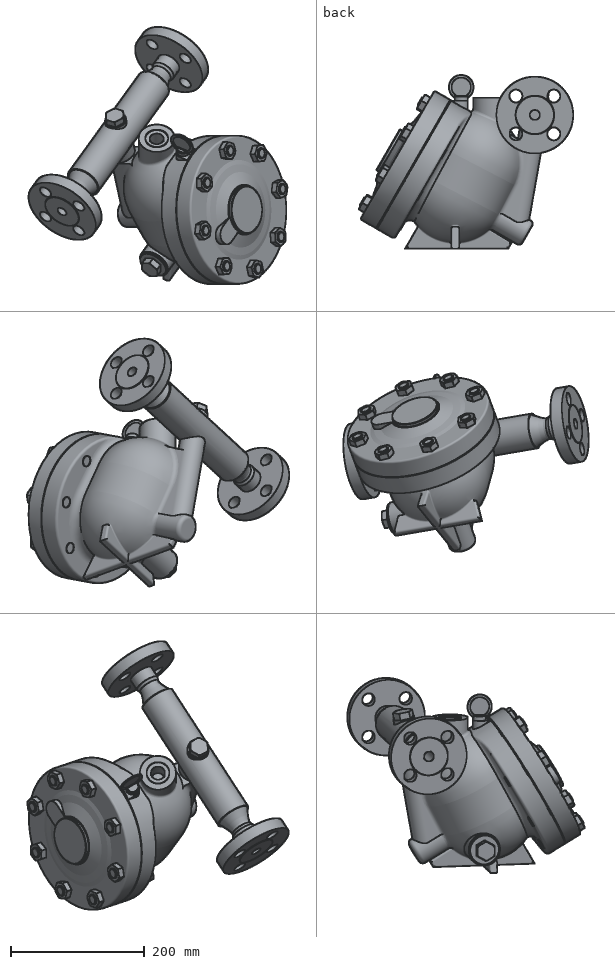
import cadquery as cq
import math

ON_SKIN = 0.001

TILT = 30.0
COS_TILT = math.cos(math.radians(TILT))
SIN_TILT = math.sin(math.radians(TILT))
JOINT_X, JOINT_Z = 181.2, 126.2

FLANGE_DIA = 222.0
GASKET_DIA = 165.0
JOINT_GAP = 1.4
BODY_FLANGE_BACK = 31.0
BODY_FLANGE_EDGE = 4.0
COVER_FACE = 28.0
COVER_EDGE = 3.0
STUD_COUNT = 8
STUD_CIRCLE_DIA = 187.0
STUD_DIA = 16.0
STUD_END = 39.2
STUD_BACK = 1.0
STUD_CHAMFER = 1.5
NUT_FLATS = 24.0
NUT_HEIGHT = 9.5

DOME_FOOT_R = 74.5
DOME_SHOULDER_R, DOME_SHOULDER_H = 68.0, 29.8
DOME_BEND_R, DOME_BEND_H = 56.5, 31.5
DOME_TOP_R, DOME_TOP_H = 37.5, 39.0
CAP_R, CAP_H = 35.5, 44.0
CAP_CHAMFER = 0.8
PAD_R = 15.0
PAD_REACH = 70.0
PAD_H = 39.5

BULB_R = 76.0
BULB_LENGTH = 50.0
BULB_LEAN = 2.5
BULB_LOW_X, BULB_LOW_HEIGHT = -4.5, -75.0
NECK_R = 67.5
NECK_FLARE = 12.0
NECK_START = -70.0
NECK_CENTRE_X = 18.7

PIPE_Z = 200.0
PIPE_R = 26.5
PIPE_HALF = 109.0
OVERALL_HALF = 175.0
STUB_R = 18.3
REDUCER_R, REDUCER_END = 24.5, 122.0
GROOVE_R, GROOVE_START, GROOVE_END = 16.0, 129.0, 133.0
STUB_START = 138.0
PIPE_FLANGE_DIA = 115.0
PIPE_FLANGE_BACK = 156.0
PIPE_FLANGE_T = OVERALL_HALF - PIPE_FLANGE_BACK
RAISED_FACE_R = 29.0
RAISED_FACE_H = 0.6
PIPE_BORE_DIA = 15.0
PIPE_BORE_DEPTH = 60.0
PIPE_BOLT_CIRCLE_DIA = 80.0
PIPE_BOLT_DIA = 19.0
PIPE_BOLT_COUNT = 4

LEG_TILT = 10.0
LEG_R = 19.0
ELBOW_R = 20.6
ELBOW_X = -5.6
ELBOW_END = -199.4
ELBOW_EDGE = 6.0
ELBOW_BLEND = 6.0
WEB_BLEND = 7.0
WEB_TOP = (45.0, 188.0)

PLUG_FLATS = 26.0
HEX_CHAMFER = 1.0
TOP_COLLAR_R, TOP_COLLAR_END, TOP_PLUG_END = 16.0, 28.0, 38.5
DRAIN_X, DRAIN_Z = 103.0, 37.5
DRAIN_R, DRAIN_END = 24.0, 77.0
DRAIN_COLLAR_R, DRAIN_COLLAR_END, DRAIN_PLUG_END = 22.0, 80.0, 91.0

INLET_X = 65.4
INLET_R = 27.0
INLET_TOP = 226.0
INLET_BLEND = 4.0
INLET_ROOT = 150.0
INLET_SEAT_DIA, INLET_SEAT_DEPTH = 34.0, 1.5
INLET_HOLE_DIA, INLET_HOLE_DEPTH = 21.0, 30.0

SCREW_X = 110.0
LUG_X = 112.0
LUG_R = 12.0
LUG_BASE, LUG_TOP = 190.0, 221.0
LUG_REACH = 12.5
SCREW_DIA = 20.0
SCREW_TOP = 229.0
SCREW_CHAMFER = 1.5
TAG_Y = -3.0
TAG_THICK = 2.0
TAG_R = 18.5
TAG_DISH_R = 14.5
TAG_DISH_DEPTH = 0.6
TAG_TOP = 259.9

FOOT_LEFT, FOOT_RIGHT = 40.0, 194.0
FOOT_PLATE = 12.0
FOOT_EDGE = 3.0
FOOT_CROSS_X = 119.0
FOOT_HALF = 69.0
FOOT_SIDE_SLOPE = 0.23
FOOT_BLEND = 2.0
FOOT_RISE = 33.0
FOOT_TOE_H = 9.5

joint = cq.Plane(
    origin=(JOINT_X, 0, JOINT_Z),
    xDir=(-SIN_TILT, 0, COS_TILT),
    normal=(COS_TILT, 0, SIN_TILT),
)


def joint_plane(height):
    """The joint plane moved along the cover axis."""
    return cq.Workplane(joint).workplane(offset=height)


def in_middle(x, height):
    """World X and Z of a point of the middle plane, given in the joint frame."""
    return (
        JOINT_X - x * SIN_TILT + height * COS_TILT,
        JOINT_Z + x * COS_TILT + height * SIN_TILT,
    )


def chamfered_disc(radius, thickness, chamfer):
    """Disc standing on the XY plane with its top edge chamfered."""
    return cq.Workplane("XY").circle(radius).extrude(thickness).faces(">Z").chamfer(chamfer)


def hexagon(flats, height):
    """Hexagon head standing on the XY plane, with its top corners turned down."""
    corner_dia = flats / math.cos(math.radians(30))
    prism = cq.Workplane("XY").polygon(6, corner_dia).extrude(height)
    return prism.intersect(chamfered_disc(corner_dia / 2, height, HEX_CHAMFER))


def plug(collar_r, collar_start, collar_end, plug_end):
    """Round collar and hexagon head along Z, at heights along its axis."""
    collar = cq.Workplane("XY").workplane(offset=collar_start).circle(collar_r)
    collar = collar.extrude(collar_end - collar_start)
    head = hexagon(PLUG_FLATS, plug_end - collar_end)
    return collar.union(head.translate((0, 0, collar_end)))


def placed(shape, plane):
    """The shape moved from the world frame to the frame of the plane."""
    return cq.Workplane(shape.val().moved(cq.Location(plane)))


def stud_points():
    """Joint-plane positions of the studs, straddling the middle plane."""
    points = []
    for index in range(STUD_COUNT):
        angle = 2 * math.pi * (index + 0.5) / STUD_COUNT
        radius = STUD_CIRCLE_DIA / 2
        points.append((radius * math.cos(angle), radius * math.sin(angle)))
    return points


def touches(shape, point):
    """Whether the point lies on the skin of the shape."""
    return any(face.distance(point) < ON_SKIN for face in shape.val().Faces())


def blended(base, addition, radius, side=None):
    """Union with a fillet along the edges where the two meet.

    With a side given, only edges at that distance from the middle plane are filleted.
    """
    joined = base.union(addition)
    seams = []
    for edge in joined.edges().vals():
        middle = edge.positionAt(0.5)
        point = cq.Vertex.makeVertex(*middle.toTuple())
        on_side = side is None or abs(abs(middle.y) - side) < ON_SKIN
        if on_side and touches(base, point) and touches(addition, point):
            seams.append(edge)
    return joined.newObject(seams).fillet(radius)


def bulb():
    """Capsule with its round ends above and below a straight middle."""
    lean = math.radians(TILT - BULB_LEAN)
    low_x, low_z = in_middle(BULB_LOW_X, BULB_LOW_HEIGHT)
    diagonal = BULB_R * math.sin(math.pi / 4)
    half_section = (
        cq.Workplane("XZ")
        .moveTo(0, -BULB_R)
        .threePointArc((diagonal, -diagonal), (BULB_R, 0))
        .lineTo(BULB_R, BULB_LENGTH)
        .threePointArc((diagonal, BULB_LENGTH + diagonal), (0, BULB_LENGTH + BULB_R))
        .close()
    )
    capsule = half_section.revolve(360, (0, 0, 0), (0, 1, 0))
    upright = cq.Plane(
        origin=(low_x, 0, low_z),
        xDir=(math.cos(lean), 0, math.sin(lean)),
        normal=(-math.sin(lean), 0, math.cos(lean)),
    )
    capsule = placed(capsule, upright)
    beyond_joint = joint_plane(-BODY_FLANGE_BACK).rect(4 * BULB_R, 4 * BULB_R).extrude(2 * BULB_R)
    return capsule.cut(beyond_joint)


def flange_and_neck():
    """Flange plate and the oblong neck that flares into it; the top of the neck meets the rim."""
    rim_r = FLANGE_DIA / 2
    plate = joint_plane(-BODY_FLANGE_BACK).circle(FLANGE_DIA)
    plate = plate.extrude(BODY_FLANGE_BACK - JOINT_GAP / 2)
    neck = (
        joint_plane(NECK_START)
        .center(NECK_CENTRE_X, 0)
        .slot2D(BULB_LENGTH + 2 * NECK_R, 2 * NECK_R)
        .extrude(-NECK_START - BODY_FLANGE_BACK / 2)
    )
    flared = blended(plate, neck, NECK_FLARE)
    trim = joint_plane(NECK_START).circle(rim_r).extrude(-NECK_START)
    trimmed = flared.intersect(trim)
    back_rim = []
    for edge in trimmed.edges().vals():
        middle = joint.toLocalCoords(edge.positionAt(0.5))
        on_back = abs(middle.z + BODY_FLANGE_BACK) < ON_SKIN
        if on_back and abs(math.hypot(middle.x, middle.y) - rim_r) < ON_SKIN:
            back_rim.append(edge)
    return trimmed.newObject(back_rim).fillet(BODY_FLANGE_EDGE)


def gasket_face():
    """Raised face that bridges the gap to the cover."""
    return joint_plane(-JOINT_GAP).circle(GASKET_DIA / 2).extrude(1.5 * JOINT_GAP)


def elbow():
    """Round boss along the cover axis, with a rounded end."""
    boss = joint_plane(ELBOW_END).center(ELBOW_X, 0).circle(ELBOW_R)
    boss = boss.extrude(BULB_LOW_HEIGHT - ELBOW_END)
    end_x, end_z = in_middle(ELBOW_X, ELBOW_END)
    end_face = boss.faces(cq.NearestToPointSelector((end_x, 0, end_z)))
    return end_face.edges().fillet(ELBOW_EDGE)


def leg_length():
    """Length of the leg from the pipe axis to the elbow axis."""
    axis_x, axis_z = in_middle(ELBOW_X, 0)
    gap = (PIPE_Z - axis_z) * COS_TILT + axis_x * SIN_TILT
    return gap / math.cos(math.radians(TILT - LEG_TILT))


def leg():
    """Round leg from the pipe axis down to the elbow axis."""
    return placed(cq.Workplane("XY").circle(LEG_R).extrude(leg_length()), leg_frame(-1))


def web():
    """Flat-sided web between leg and bulb, blended into the sides of the bulb."""
    slab = (
        cq.Workplane("XZ")
        .polyline([
            in_middle(FLANGE_DIA / 2, ELBOW_END),
            in_middle(FLANGE_DIA / 2, BULB_LOW_HEIGHT),
            in_middle(-FLANGE_DIA / 2, BULB_LOW_HEIGHT),
            in_middle(-FLANGE_DIA / 2, ELBOW_END),
        ])
        .close()
        .extrude(LEG_R, both=True)
    )
    leg_angle = math.radians(LEG_TILT)
    leg_foot = (leg_length() * math.sin(leg_angle), PIPE_Z - leg_length() * math.cos(leg_angle))
    side_outline = (
        cq.Workplane("XZ")
        .polyline([
            (0, PIPE_Z),
            leg_foot,
            in_middle(ELBOW_X, BULB_LOW_HEIGHT),
            in_middle(BULB_LENGTH, BULB_LOW_HEIGHT),
            WEB_TOP,
        ])
        .close()
        .extrude(LEG_R + 2 * WEB_BLEND, both=True)
    )
    return blended(bulb(), slab, WEB_BLEND, LEG_R).intersect(side_outline)


def leg_frame(direction):
    """Frame on the pipe axis with Z up (1) or down (-1) along the leg."""
    tilt = math.radians(LEG_TILT)
    return cq.Plane(
        origin=(0, 0, PIPE_Z),
        xDir=(math.cos(tilt), 0, math.sin(tilt)),
        normal=(-direction * math.sin(tilt), 0, direction * math.cos(tilt)),
    )


def pipe():
    """Cross pipe turned about its own axis: barrel, reducers, stubs and end flanges."""
    flange_r = PIPE_FLANGE_DIA / 2
    face_y = OVERALL_HALF - RAISED_FACE_H
    half = [
        (PIPE_R, PIPE_HALF),
        (REDUCER_R, PIPE_HALF),
        (STUB_R, REDUCER_END),
        (GROOVE_R, GROOVE_START),
        (GROOVE_R, GROOVE_END),
        (STUB_R, STUB_START),
        (STUB_R, PIPE_FLANGE_BACK),
        (flange_r, PIPE_FLANGE_BACK),
        (flange_r, face_y),
        (RAISED_FACE_R, face_y),
        (RAISED_FACE_R - RAISED_FACE_H, OVERALL_HALF),
    ]
    outline = [(0, -OVERALL_HALF)]
    outline += [(r, -y) for r, y in reversed(half)]
    outline += half
    outline += [(0, OVERALL_HALF)]
    turned = cq.Workplane("XY").polyline(outline).close().revolve(360, (0, 0, 0), (0, 1, 0))
    return turned.translate((0, 0, PIPE_Z))


def pipe_end_holes(side):
    """Blind bore and flange bolt holes of one pipe end, on the +Y (1) or -Y (-1) side."""
    face = cq.Plane(origin=(0, side * OVERALL_HALF, PIPE_Z), xDir=(1, 0, 0), normal=(0, -side, 0))
    bore = cq.Workplane(face).circle(PIPE_BORE_DIA / 2).extrude(PIPE_BORE_DEPTH)
    bolt_holes = (
        cq.Workplane(face)
        .polarArray(PIPE_BOLT_CIRCLE_DIA / 2, 45, 360, PIPE_BOLT_COUNT)
        .circle(PIPE_BOLT_DIA / 2)
        .extrude(PIPE_FLANGE_T)
    )
    return bore.add(bolt_holes).combine()


def drain():
    """Drain boss and its plug on the -Y side."""
    outward = cq.Plane(origin=(DRAIN_X, 0, DRAIN_Z), xDir=(0, 0, 1), normal=(0, -1, 0))
    boss = cq.Workplane(outward).circle(DRAIN_R).extrude(DRAIN_END)
    drain_plug = plug(DRAIN_COLLAR_R, DRAIN_END, DRAIN_COLLAR_END, DRAIN_PLUG_END)
    return boss.union(placed(drain_plug, outward))


def inlet():
    """Upright inlet boss."""
    return (
        cq.Workplane("XY", origin=(INLET_X, 0, INLET_ROOT))
        .circle(INLET_R)
        .extrude(INLET_TOP - INLET_ROOT)
    )


def inlet_hole():
    """Blind inlet hole with a shallow round seat at its mouth."""
    top = cq.Workplane("XY", origin=(INLET_X, 0, INLET_TOP))
    seat = top.circle(INLET_SEAT_DIA / 2).extrude(-INLET_SEAT_DEPTH)
    return seat.union(top.circle(INLET_HOLE_DIA / 2).extrude(-INLET_HOLE_DEPTH))


def tag_lug():
    """Lug with a round front, the screw on it and the dished tag held by the screw."""
    lug = cq.Workplane("XY", origin=(LUG_X, 0, LUG_BASE)).circle(LUG_R).extrude(LUG_TOP - LUG_BASE)
    lug = lug.union(
        cq.Workplane("XY", origin=(LUG_X + LUG_REACH / 2, 0, LUG_BASE))
        .rect(LUG_REACH, 2 * LUG_R)
        .extrude(LUG_TOP - LUG_BASE)
    )
    screw = chamfered_disc(SCREW_DIA / 2, SCREW_TOP - LUG_TOP, SCREW_CHAMFER)
    tag_back = cq.Workplane("XZ", origin=(SCREW_X, TAG_Y + TAG_THICK / 2, TAG_TOP - TAG_R))
    tag = tag_back.circle(TAG_R).extrude(TAG_THICK)
    dish = tag_back.workplane(offset=TAG_THICK - TAG_DISH_DEPTH).circle(TAG_DISH_R).extrude(TAG_THICK)
    return lug.union(screw.translate((SCREW_X, 0, LUG_TOP))).union(tag.cut(dish))


def foot():
    """Two crossed plates under the bulb, with rounded edges."""
    slope = math.tan(math.radians(TILT))
    long_plate = (
        cq.Workplane("XZ")
        .polyline([
            (FOOT_LEFT, 0),
            (FOOT_RIGHT, 0),
            (FOOT_RIGHT - FOOT_RISE * slope, FOOT_RISE),
            (FOOT_LEFT + FOOT_RISE, FOOT_RISE),
            (FOOT_LEFT - FOOT_TOE_H * slope, FOOT_TOE_H),
        ])
        .close()
        .extrude(FOOT_PLATE / 2, both=True)
        .faces("<Y or >Y")
        .edges()
        .fillet(FOOT_EDGE)
    )
    top_half = FOOT_HALF - FOOT_SIDE_SLOPE * FOOT_RISE
    cross_plate = (
        cq.Workplane("YZ", origin=(FOOT_CROSS_X, 0, 0))
        .polyline([(-FOOT_HALF, 0), (FOOT_HALF, 0), (top_half, FOOT_RISE), (-top_half, FOOT_RISE)])
        .close()
        .extrude(FOOT_PLATE / 2, both=True)
        .faces("<X or >X")
        .edges()
        .fillet(FOOT_EDGE)
    )
    return long_plate.union(cross_plate)


def make_body():
    """Body with its pipe, bosses and foot, holed for the studs."""
    shell = blended(bulb(), elbow(), ELBOW_BLEND)
    shell = blended(shell, inlet(), INLET_BLEND)
    shell = shell.union(blended(bulb(), foot(), FOOT_BLEND))
    shell = shell.union(flange_and_neck()).union(gasket_face())
    shell = shell.union(web()).union(leg()).union(pipe())
    shell = shell.union(drain()).union(tag_lug())
    shell = shell.union(placed(plug(TOP_COLLAR_R, 0, TOP_COLLAR_END, TOP_PLUG_END), leg_frame(1)))
    shell = shell.cut(pipe_end_holes(1)).cut(pipe_end_holes(-1)).cut(inlet_hole())
    return shell.cut(studs())


def studs():
    """Studs through the whole joint, chamfered at their outer ends."""
    length = STUD_END + BODY_FLANGE_BACK + STUD_BACK
    stud = chamfered_disc(STUD_DIA / 2, length, STUD_CHAMFER).translate((0, 0, STUD_END - length))
    row = None
    for x, y in stud_points():
        one = placed(stud.translate((x, y, 0)), joint)
        row = one if row is None else row.union(one)
    return row


def cover_plate():
    """Cover plate with the turned dome and flat cap on it."""
    rim = FLANGE_DIA / 2
    half_section = (
        cq.Workplane("XZ")
        .moveTo(0, JOINT_GAP / 2)
        .lineTo(rim, JOINT_GAP / 2)
        .lineTo(rim, COVER_FACE - COVER_EDGE)
        .radiusArc((rim - COVER_EDGE, COVER_FACE), -COVER_EDGE)
        .lineTo(DOME_FOOT_R, COVER_FACE)
        .lineTo(DOME_SHOULDER_R, DOME_SHOULDER_H)
        .lineTo(DOME_BEND_R, DOME_BEND_H)
        .lineTo(DOME_TOP_R, DOME_TOP_H)
        .lineTo(CAP_R, DOME_TOP_H)
        .lineTo(CAP_R, CAP_H - CAP_CHAMFER)
        .lineTo(CAP_R - CAP_CHAMFER, CAP_H)
        .lineTo(0, CAP_H)
        .close()
    )
    return placed(half_section.revolve(360, (0, 0, 0), (0, 1, 0)), joint)


def cover_pad():
    """Raised flat pad that runs from the cap towards -Y."""
    reach = PAD_REACH - PAD_R
    pad = joint_plane(COVER_FACE).center(0, reach).circle(PAD_R).extrude(PAD_H - COVER_FACE)
    bar = joint_plane(COVER_FACE).center(0, reach / 2).rect(2 * PAD_R, reach)
    return pad.union(bar.extrude(PAD_H - COVER_FACE))


def make_cover():
    """Cover with its pad, studs and nuts, recessed for the raised face of the body."""
    cover = cover_plate().union(cover_pad()).union(studs())
    nut = hexagon(NUT_FLATS, NUT_HEIGHT)
    for x, y in stud_points():
        turned = nut.rotate((0, 0, 0), (0, 0, 1), math.degrees(math.atan2(y, x)))
        cover = cover.union(placed(turned.translate((x, y, COVER_FACE)), joint))
    return cover.cut(gasket_face())


body = make_body()
cover = make_cover()
result = cq.Compound.makeCompound([body.val(), cover.val()])